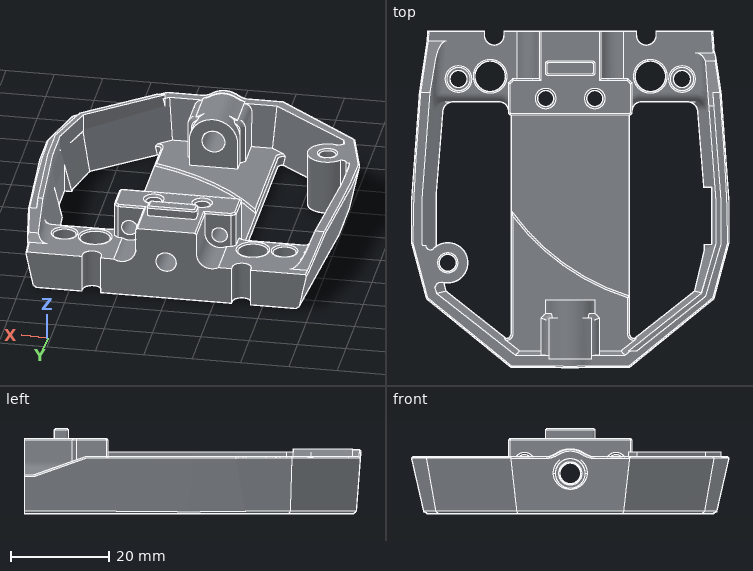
import cadquery as cq

RIM_Z = 11.65
LIP_Z = 12.6
LIP_BASE_Z = 8.9
BRIDGE_Z = 7.95
BLOCK_Z = 15.35
KEY_Z = 17.4
WORK_Z = 20.55
OVERLAP = 0.7
WORK_X = 41.1

LENGTH = 68.55
BRIDGE_FRONT_Y = 54.15
RAMP_START_Y = 56.1
RAMP_END_Y = 66.55
RIGHT_RAMP_BREAK_Y = 62.5
RIGHT_RAMP_END_Y = 64.15

OUTER_BOTTOM = [(10.8, 0.95), (27.3, 14.4), (29.75, 23.4), (29.75, 35.25), (27.4, LENGTH)]
OUTER_RIM = [(12.1, 0.1), (29.35, 14.05), (32.4, 25.6), (32.4, 33.9), (29.9, LENGTH)]
INNER_BOTTOM = [(10.15, 3.7), (25.3, 15.6), (27.3, 24.0), (27.3, 35.3), (24.6, LENGTH)]
INNER_RIM = [(11.1, 2.55), (27.2, 15.15), (30.2, 25.35), (30.2, 33.9), (27.6, LENGTH)]
RIM_CHAMFER = 0.35
BASE_CHAMFER = 0.55
STEEP_WALL_NORMAL_Z = 0.35
SLOPED_EDGE_TANGENT_Z = 0.6

LIP_INNER = [(11.4, 3.0), (26.7, 15.15), (29.7, 25.35), (29.7, 33.9), (27.1, LENGTH)]
LIP_WIDTH = 1.0
LIP_FRONT_Y = 3.4

WINDOW_X = 28.8
WINDOW_DEPTH = 6.85
WINDOW_Y = (25.15, 36.75)

BRIDGE_ROUND = 1.85
BRIDGE_WALL_FILLET = 2.0
BRIDGE_BLOCK_FILLET = 1.85
BRIDGE_HALF_WIDTH = 30.15
POCKET_BACK_HALF_WIDTH = 24.7
EDGE_SLOT_X = 15.5
EDGE_SLOT_WIDTH = 3.9
EDGE_SLOT_DEPTH = 2.8
LARGE_HOLE = (16.3, 59.35)
LARGE_HOLE_DIAMETER = 6.2
SMALL_HOLE = (22.75, 58.8)
SMALL_HOLE_DIAMETER = 3.4
SMALL_BORE_DIAMETER = 4.7
SMALL_BORE_DEPTH = 4.1
HOLE_CHAMFER = 0.35

HEAD_HALF_WIDTH = 12.6
HEAD_FRONT_Y = 51.5
HEAD_BACK_Y = 58.9
HEAD_CORNER_CHAMFER = 0.9
TAIL_HALF_WIDTH = 6.3
BLOCK_CHAMFER = 0.35
TAIL_COVE_WIDTH = 4.5
TAIL_COVE_HEIGHT = 2.6
KEY_LENGTH = 10.15
KEY_WIDTH = 2.95
KEY_CENTER_Y = 61.0
KEY_CORNER_RADIUS = 0.6
KEY_CHAMFER = 0.35
PIN_HOLE_DIAMETER = 3.2
PIN_HOLE_CHAMFER = 0.5
TOP_PIN = (5.0, 54.85)
FACE_PIN_X = 9.3
FACE_PIN_Z = 10.4

BORE_Z = 8.2
BLOCK_BORE_DIAMETER = 4.2
BLOCK_BORE_MOUTH = 6.0
BLOCK_BORE_MOUTH_DEPTH = 0.95
NOSE_BORE_DIAMETER = 4.7
NOSE_MOUTH_DIAMETER = 6.0
NOSE_MOUTH_DEPTH = 2.5
NOSE_MOUTH_CHAMFER = 0.5

BOSS_HALF_WIDTH = 5.95
BOSS_SHOULDER_Y = 10.15
BOSS_END_Y = 13.85
BOSS_ROUND = 1.8
CAP_RADIUS = 5.0
NOSE_CAP_RADIUS = 4.9
CAP_START_Y = 1.8
CAP_HALF_WIDTH = 2.6
CAP_FOOT_HALF_WIDTH = 4.3

PLATE_HALF_WIDTH = 12.05
PLATE_Z = 2.0
STEP_HEIGHT = 0.4
PLATE_FRONT_Y = 2.75
PLATE_FLARE_Y = 5.95
PLATE_FLARE_RADIUS = 1.0
STEP_LEFT_Y = 32.1
STEP_MIDDLE_Y = 20.35
STEP_RIGHT_Y = 14.6

LUG = (-24.95, 21.4)
LUG_DIAMETER = 8.2
LUG_HOLE_DIAMETER = 3.4
LUG_HOLE_CHAMFER = 0.35
LUG_NOTCH_RADIUS = 0.95
LUG_NOTCHES = [(-28.45, 24.95), (-26.45, 16.45)]
LUG_WEB_X = -31.9


def box(x_range, y_range, z_range):
    """Box spanning the given ranges."""
    size = [high - low for low, high in (x_range, y_range, z_range)]
    return cq.Workplane("XY").box(*size, centered=False).translate((x_range[0], y_range[0], z_range[0]))


def cylinder_z(center, diameter, z_low, z_high):
    """Upright cylinder."""
    return cq.Workplane("XY", origin=(*center, z_low)).circle(diameter / 2).extrude(z_high - z_low)


def cylinder_y(x, z, diameter, y_front, y_back):
    """Cylinder lying along Y."""
    return cq.Workplane("XZ", origin=(x, y_front, z)).circle(diameter / 2).extrude(y_front - y_back)


def cone(start, direction, diameter, depth):
    """45 degree countersink that narrows from the given diameter over its depth."""
    radius = diameter / 2
    solid = cq.Solid.makeCone(radius, radius - depth, depth, cq.Vector(*start), cq.Vector(*direction))
    return cq.Workplane(solid)


def drill_down(center, diameter, top_z, chamfer):
    """Through hole along Z with a countersunk mouth at top_z."""
    hole = cylinder_z(center, diameter, -OVERLAP, WORK_Z)
    return hole.union(cone((*center, top_z), (0, 0, -1), diameter + 2 * chamfer, chamfer))


def mirrored(shape):
    """The shape together with its mirror image across X = 0."""
    return shape.union(shape.mirror("YZ"))


def half_loop(half):
    """Closed loop of points from the right half of a symmetric outline."""
    return half + [(-x, y) for x, y in reversed(half)]


def tapered_prism(bottom, rim, z_low, z_high):
    """Symmetric prism whose outline runs from `bottom` at z = 0 to `rim` at the rim height."""
    def section(z):
        share = z / RIM_Z
        half = [(a[0] + (b[0] - a[0]) * share, a[1] + (b[1] - a[1]) * share) for a, b in zip(bottom, rim)]
        return cq.Wire.makePolygon([cq.Vector(x, y, z) for x, y in half_loop(half)], close=True)

    return cq.Workplane(cq.Solid.makeLoft([section(z_low), section(z_high)], True))


def straight_prism(half, z_low, z_high):
    """Symmetric upright prism from the right half of its outline."""
    return cq.Workplane("XY", origin=(0, 0, z_low)).polyline(half_loop(half)).close().extrude(z_high - z_low)


def ramp_z(y):
    """Height of the sloping end of the wall."""
    return RIM_Z - (RIM_Z - BRIDGE_Z) * (y - RAMP_START_Y) / (RAMP_END_Y - RAMP_START_Y)


def side_envelope(points, x_low, x_high):
    """Space under a wall-top profile given as (y, z) points from front to back."""
    outline = [(-OVERLAP, -OVERLAP)] + points + [(LENGTH + OVERLAP, BRIDGE_Z), (LENGTH + OVERLAP, -OVERLAP)]
    return cq.Workplane("YZ", origin=(x_low, 0, 0)).polyline(outline).close().extrude(x_high - x_low)


def right_profile(start_z):
    """Top profile of the right wall, with the ramp carried up to start_z."""
    slope = (RIM_Z - BRIDGE_Z) / (RAMP_END_Y - RAMP_START_Y)
    ramp_top_y = RAMP_START_Y - (start_z - RIM_Z) / slope
    return [
        (-OVERLAP, start_z),
        (ramp_top_y, start_z),
        (RIGHT_RAMP_BREAK_Y, ramp_z(RIGHT_RAMP_BREAK_Y)),
        (RIGHT_RAMP_END_Y, BRIDGE_Z),
    ]


def nose_cap(radius, y_front, y_back):
    """Crown concentric with the bore, sweeping out to the rim height on both sides."""
    shoulder_z = BORE_Z + (radius**2 - CAP_HALF_WIDTH**2) ** 0.5
    half = (
        cq.Workplane("XZ", origin=(0, y_front, 0))
        .moveTo(0, BORE_Z)
        .lineTo(0, BORE_Z + radius)
        .radiusArc((CAP_HALF_WIDTH, shoulder_z), radius)
        .tangentArcPoint((CAP_FOOT_HALF_WIDTH, RIM_Z), relative=False)
        .lineTo(CAP_FOOT_HALF_WIDTH, BORE_Z)
        .close()
        .extrude(y_front - y_back)
    )
    return mirrored(half)


def is_outer_wall(face):
    """True for the sides and nose of the envelope, false for its back and inner steps."""
    return abs(face.Center().x) > BOSS_HALF_WIDTH or face.Center().y < 0.7


def outer_body():
    """Solid envelope of the ring with its trimmed, chamfered top and chamfered base."""
    left = side_envelope([(-OVERLAP, RIM_Z), (RAMP_START_Y, RIM_Z), (RAMP_END_Y, BRIDGE_Z)], -WORK_X, 0)
    right = side_envelope(right_profile(RIM_Z), 0, WORK_X)
    envelope = left.union(right).union(nose_cap(NOSE_CAP_RADIUS, -OVERLAP, BOSS_SHOULDER_Y))
    body = tapered_prism(OUTER_BOTTOM, OUTER_RIM, 0, WORK_Z).intersect(envelope)
    walls = [f for f in body.faces().vals() if abs(f.normalAt().z) < STEEP_WALL_NORMAL_Z and is_outer_wall(f)]
    edges = [e for f in walls for e in f.Edges() if abs(e.tangentAt(0.5).z) < SLOPED_EDGE_TANGENT_Z]
    top = [e for e in edges if e.Center().z > BRIDGE_Z - OVERLAP]
    base = [e for e in edges if e.Center().z < OVERLAP]
    solid = body.val().Solids()[0]
    solid = solid.chamfer(BASE_CHAMFER, None, base)
    solid = solid.chamfer(RIM_CHAMFER, None, top)
    return cq.Workplane(solid)


def bridge():
    """Bar across the back with a rounded front edge that coves into the block."""
    cove = BRIDGE_BLOCK_FILLET
    center = (HEAD_HALF_WIDTH + cove, BRIDGE_FRONT_Y - cove)
    arc_middle = (center[0] - cove * 0.5**0.5, center[1] + cove * 0.5**0.5)
    half = (
        cq.Workplane("XY")
        .moveTo(0, LENGTH)
        .lineTo(BRIDGE_HALF_WIDTH, LENGTH)
        .lineTo(BRIDGE_HALF_WIDTH, BRIDGE_FRONT_Y)
        .lineTo(center[0], BRIDGE_FRONT_Y)
        .threePointArc(arc_middle, (HEAD_HALF_WIDTH, center[1]))
        .lineTo(0, center[1])
        .close()
        .extrude(BRIDGE_Z)
    )
    front = cq.selectors.BoxSelector(
        (HEAD_HALF_WIDTH - OVERLAP, center[1] + 0.1, BRIDGE_Z - OVERLAP),
        (BRIDGE_HALF_WIDTH - OVERLAP, BRIDGE_FRONT_Y + OVERLAP, BRIDGE_Z + OVERLAP),
    )
    return mirrored(half.edges(front).fillet(BRIDGE_ROUND))


def ring():
    """Tapered wall with the bridge blended into it."""
    pocket_back = (-POCKET_BACK_HALF_WIDTH, POCKET_BACK_HALF_WIDTH)
    full = tapered_prism(OUTER_BOTTOM, OUTER_RIM, 0, WORK_Z)
    pocket = tapered_prism(INNER_BOTTOM, INNER_RIM, -OVERLAP, WORK_Z + OVERLAP)
    pocket = pocket.union(box(pocket_back, (LENGTH - OVERLAP, LENGTH + OVERLAP), (-OVERLAP, WORK_Z + OVERLAP)))
    body = full.cut(pocket).union(bridge().intersect(full))
    for side in (-1, 1):
        x_range = sorted((side * (POCKET_BACK_HALF_WIDTH - OVERLAP), side * (BRIDGE_HALF_WIDTH - 1.4)))
        joint = cq.selectors.BoxSelector(
            (x_range[0], BRIDGE_FRONT_Y - 0.1, 0.1), (x_range[1], LENGTH - 0.35, BRIDGE_Z + 0.1)
        )
        body = body.edges(joint).fillet(BRIDGE_WALL_FILLET)
    return body.intersect(outer_body())


def lip():
    """Narrow upright strip standing on the inner edge of the right wall."""
    hollow = straight_prism(LIP_INNER, LIP_BASE_Z, WORK_Z)
    inner = cq.Workplane("XY").polyline(half_loop(LIP_INNER)).close()
    grown = inner.offset2D(LIP_WIDTH, "intersection").extrude(WORK_Z).translate((0, 0, LIP_BASE_Z))
    span = side_envelope(right_profile(LIP_Z), CAP_FOOT_HALF_WIDTH, WORK_X)
    reach = box((CAP_FOOT_HALF_WIDTH, WORK_X), (LIP_FRONT_Y, RIGHT_RAMP_END_Y), (LIP_BASE_Z, WORK_Z))
    return grown.cut(hollow).intersect(span).intersect(reach)


def center_block():
    """T-shaped block with a key on top."""
    head = box((-HEAD_HALF_WIDTH, HEAD_HALF_WIDTH), (HEAD_FRONT_Y, HEAD_BACK_Y), (0, BLOCK_Z))
    head = head.edges("|Z and >Y").chamfer(HEAD_CORNER_CHAMFER).edges("|Z and <Y").chamfer(BLOCK_CHAMFER)
    tail = box((-TAIL_HALF_WIDTH, TAIL_HALF_WIDTH), (HEAD_FRONT_Y + OVERLAP, LENGTH), (0, BLOCK_Z))
    block = head.union(tail)
    rim = [e for e in block.faces(">Z").edges().vals() if e.Center().y < LENGTH - 0.1]
    block = block.newObject(rim).chamfer(BLOCK_CHAMFER)
    key = (
        cq.Workplane("XY", origin=(0, KEY_CENTER_Y, BLOCK_Z))
        .rect(KEY_LENGTH, KEY_WIDTH)
        .extrude(KEY_Z - BLOCK_Z)
        .edges("|Z")
        .fillet(KEY_CORNER_RADIUS)
        .faces(">Z")
        .edges()
        .chamfer(KEY_CHAMFER)
    )
    return block.union(key)


def tail_cove():
    """Fill in the corner between tail and bridge, and the round cutter that hollows it."""
    radius = (TAIL_COVE_WIDTH**2 + TAIL_COVE_HEIGHT**2) / (2 * TAIL_COVE_WIDTH)
    axis_x = TAIL_HALF_WIDTH + radius
    axis_z = BRIDGE_Z + TAIL_COVE_HEIGHT
    fill = box((TAIL_HALF_WIDTH - OVERLAP, axis_x), (HEAD_BACK_Y - OVERLAP, LENGTH), (BRIDGE_Z - OVERLAP, axis_z))
    cutter = cylinder_y(axis_x, axis_z, 2 * radius, HEAD_BACK_Y, LENGTH + OVERLAP)
    return mirrored(fill), mirrored(cutter)


def nose_boss():
    """Boss behind the nose: a wide round-shouldered base that narrows to an arched tip."""
    neck_y = BOSS_SHOULDER_Y + BOSS_HALF_WIDTH - CAP_RADIUS
    front_y = PLATE_FRONT_Y - OVERLAP
    plan = [
        (BOSS_HALF_WIDTH, front_y),
        (BOSS_HALF_WIDTH, BOSS_SHOULDER_Y),
        (CAP_RADIUS, neck_y),
    ]
    base = straight_prism(plan, 0, RIM_Z)
    sides = [e for e in base.faces(">Z").edges().vals() if abs(e.Center().x) > 0.7]
    base = base.newObject(sides).fillet(BOSS_ROUND)
    tip = cylinder_y(0, BORE_Z, 2 * CAP_RADIUS, front_y, BOSS_END_Y)
    tip = tip.union(box((-CAP_RADIUS, CAP_RADIUS), (front_y, BOSS_END_Y), (0, BORE_Z)))
    return base.union(nose_cap(CAP_RADIUS, CAP_START_Y, BOSS_SHOULDER_Y)).union(tip)


def floor_plate():
    """Plate from nose to block whose front part is raised behind a curved step."""
    flare = PLATE_FLARE_RADIUS
    flare_x = PLATE_HALF_WIDTH + flare
    flare_back = PLATE_FLARE_Y + flare
    bend = flare * (1 - 0.5**0.5)

    def front_outline():
        return (
            cq.Workplane("XY")
            .moveTo(-PLATE_HALF_WIDTH, flare_back)
            .threePointArc((-PLATE_HALF_WIDTH - bend, PLATE_FLARE_Y + bend), (-flare_x, PLATE_FLARE_Y))
            .lineTo(-flare_x - flare / 2, PLATE_FLARE_Y)
            .lineTo(-flare_x + flare, PLATE_FRONT_Y)
            .lineTo(flare_x - flare, PLATE_FRONT_Y)
            .lineTo(flare_x + flare / 2, PLATE_FLARE_Y)
            .lineTo(flare_x, PLATE_FLARE_Y)
            .threePointArc((PLATE_HALF_WIDTH + bend, PLATE_FLARE_Y + bend), (PLATE_HALF_WIDTH, flare_back))
        )

    base = (
        front_outline()
        .lineTo(PLATE_HALF_WIDTH, HEAD_FRONT_Y + OVERLAP)
        .lineTo(-PLATE_HALF_WIDTH, HEAD_FRONT_Y + OVERLAP)
        .close()
        .extrude(PLATE_Z)
    )
    step = (
        front_outline()
        .lineTo(PLATE_HALF_WIDTH, STEP_RIGHT_Y)
        .threePointArc((0, STEP_MIDDLE_Y), (-PLATE_HALF_WIDTH, STEP_LEFT_Y))
        .close()
        .extrude(PLATE_Z + STEP_HEIGHT)
    )
    free_edges = [e for e in step.faces(">Z").edges().vals() if e.Center().y > PLATE_FLARE_Y + 0.1]
    step = step.newObject(free_edges).chamfer(STEP_HEIGHT)
    return base.union(step)


def lug():
    """Round screw lug blended into the left wall."""
    back_notch, front_notch = LUG_NOTCHES
    corners = [(LUG_WEB_X, back_notch[1]), back_notch, LUG, front_notch, (LUG_WEB_X, front_notch[1])]
    web = cq.Workplane("XY").polyline(corners).close().extrude(RIM_Z)
    for notch in LUG_NOTCHES:
        web = web.cut(cylinder_z(notch, 2 * LUG_NOTCH_RADIUS, -OVERLAP, WORK_Z))
    return web.union(cylinder_z(LUG, LUG_DIAMETER, 0, RIM_Z)).intersect(outer_body())


def bridge_cuts():
    """Holes and open slots of the bridge."""
    slot_radius = EDGE_SLOT_WIDTH / 2
    slot_center = (EDGE_SLOT_X, LENGTH - EDGE_SLOT_DEPTH + slot_radius)
    slot = cylinder_z(slot_center, EDGE_SLOT_WIDTH, -OVERLAP, WORK_Z).union(
        box(
            (EDGE_SLOT_X - slot_radius, EDGE_SLOT_X + slot_radius),
            (slot_center[1], LENGTH + OVERLAP),
            (-OVERLAP, WORK_Z),
        )
    )
    large = drill_down(LARGE_HOLE, LARGE_HOLE_DIAMETER, BRIDGE_Z, HOLE_CHAMFER)
    small = drill_down(SMALL_HOLE, SMALL_BORE_DIAMETER, BRIDGE_Z, HOLE_CHAMFER)
    bore_floor_z = BRIDGE_Z - SMALL_BORE_DEPTH
    small = small.cut(cylinder_z(SMALL_HOLE, SMALL_BORE_DIAMETER + OVERLAP, -2 * OVERLAP, bore_floor_z))
    small = small.union(cylinder_z(SMALL_HOLE, SMALL_HOLE_DIAMETER, -OVERLAP, BRIDGE_Z))
    return mirrored(slot.union(large).union(small))


def block_cuts():
    """Pin holes in the top and front of the block."""
    top_pin = drill_down(TOP_PIN, PIN_HOLE_DIAMETER, BLOCK_Z, PIN_HOLE_CHAMFER)
    face_pin = cylinder_y(FACE_PIN_X, FACE_PIN_Z, PIN_HOLE_DIAMETER, HEAD_FRONT_Y - OVERLAP, HEAD_BACK_Y + OVERLAP)
    mouth_diameter = PIN_HOLE_DIAMETER + 2 * PIN_HOLE_CHAMFER
    mouth = cone((FACE_PIN_X, HEAD_FRONT_Y, FACE_PIN_Z), (0, 1, 0), mouth_diameter, PIN_HOLE_CHAMFER)
    return mirrored(top_pin.union(face_pin).union(mouth))


def axial_bore():
    """Stepped bore along Y through the nose boss and the block."""
    nose = cylinder_y(0, BORE_Z, NOSE_BORE_DIAMETER, -OVERLAP, BOSS_END_Y + OVERLAP)
    mouth = cylinder_y(0, BORE_Z, NOSE_MOUTH_DIAMETER, -OVERLAP, NOSE_MOUTH_DEPTH)
    nose_face_y = OUTER_RIM[0][1] + (OUTER_BOTTOM[0][1] - OUTER_RIM[0][1]) * (1 - BORE_Z / RIM_Z)
    entry_diameter = NOSE_MOUTH_DIAMETER + 2 * NOSE_MOUTH_CHAMFER
    entry = cone((0, nose_face_y, BORE_Z), (0, 1, 0), entry_diameter, NOSE_MOUTH_CHAMFER)
    block = cylinder_y(0, BORE_Z, BLOCK_BORE_DIAMETER, HEAD_FRONT_Y - OVERLAP, LENGTH + OVERLAP)
    block_mouth = cone((0, HEAD_FRONT_Y, BORE_Z), (0, 1, 0), BLOCK_BORE_MOUTH, BLOCK_BORE_MOUTH_DEPTH)
    return nose.union(mouth).union(entry).union(block).union(block_mouth)


cove_fill, cove_cutter = tail_cove()
body = ring().union(lip()).union(lug()).union(floor_plate()).union(nose_boss())
body = body.union(center_block()).union(cove_fill).cut(cove_cutter)
body = body.cut(box((WINDOW_X - WINDOW_DEPTH, WINDOW_X), WINDOW_Y, (-OVERLAP, WORK_Z)))
body = body.cut(drill_down(LUG, LUG_HOLE_DIAMETER, RIM_Z, LUG_HOLE_CHAMFER))
result = body.cut(bridge_cuts()).cut(block_cuts()).cut(axial_bore())